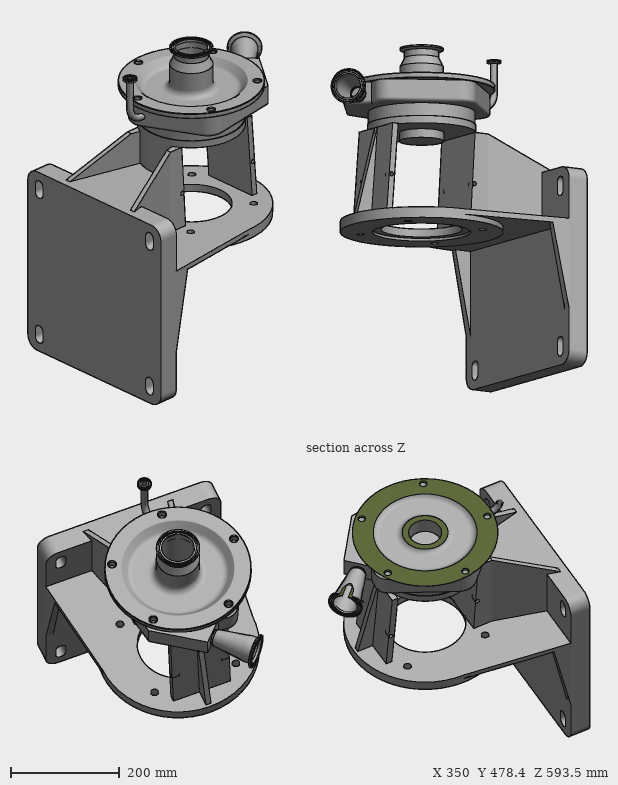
import math

import cadquery as cq


TOTAL_HEIGHT = 593.5

FOOT_WIDTH = 350.0
FOOT_HEIGHT = 370.0
FOOT_THICKNESS = 40.0
FOOT_TOP = 100.0
FOOT_CORNER = 25.0
FOOT_OUTER_Y = -250.0
FOOT_INNER_Y = FOOT_OUTER_Y + FOOT_THICKNESS
SLOT_SPACING_X = 290.0
SLOT_SPACING_Z = 300.0
SLOT_WIDTH = 20.0
SLOT_LENGTH = 36.0

TABLE_RADIUS = 150.0
TABLE_LAYER = 10.0
TABLE_BORE = 75.0
SPIGOT_RADIUS = 90.0
SPIGOT_DEPTH = 5.0
MOTOR_CIRCLE_RADIUS = 115.0
MOTOR_HOLE_COUNT = 4
MOTOR_HOLE_DIAMETER = 14.0
GUSSET_THICKNESS = 15.0
GUSSET_FRONT_Y = -177.0
GUSSET_BOTTOM = -168.0

LANTERN_TOP = 166.0
LANTERN_RADIUS = 100.0
LANTERN_HALF_WIDTH = 57.0
WALL_INNER_FOOT = -70.5
WALL_INNER_HEAD = -80.3
LEG_INNER_FOOT = 100.8
LEG_INNER_HEAD = 88.0
LEG_THICKNESS = 12.0
LEG_RIB_FOOT = 144.0
RIB_THICKNESS = 10.0
RIB_SPLAY = 14.5
RIB_FRONT_Y = -109.0
RIB_END_Y = -235.0
TAP_DIAMETER = 8.0
TAP_DEPTH = 15.0
TAP_HEIGHT = 70.0
WALL_TAP_Y = -79.0
LEG_TAP_Y = 102.5

RING_HEIGHT = 14.0
NECK_RADIUS = 98.5
HUB_RADIUS = 41.0
HUB_LENGTH = 16.0
CASING_BOTTOM = 204.0
CASING_TOP = 244.5
LID_TOP = 254.5
LID_RADIUS = 135.0

BOLT_COUNT = 5
BOLT_PITCH = 360.0 / BOLT_COUNT
FIRST_BOLT = 45.0
BOLT_CIRCLE_RADIUS = 121.5
FLAT_DISTANCE = 115.0
VOLUTE_FLAT_DISTANCE = 121.6
OUTLET_ANGLE = 135.0
OUTLET_FACE_DISTANCE = 109.0
OUTLET_SIDE_ANGLE = 54.0
OUTLET_SIDE_DISTANCE = 139.5
CORNER_RADIUS = 33.0
VOLUTE_CORNER_RADIUS = 27.0
CASING_EDGE = 6.0

LID_EDGE = 1.0
LID_HOLE_DIAMETER = 13.0
LID_HOLE_CHAMFER = 1.7
LID_HOLE_DEPTH = 14.0
DRILL_TIP = 118.0
DISH_RIM_RADIUS = 105.5
DISH_RIM_ROLL = 1.7
DISH_RIM_DROP = 0.6
DISH_WALL_RADIUS = 93.5
DISH_FLOOR_RADIUS = 83.5
DISH_DEPTH = 16.0
DISH_FILLET_RISE = 4.5

INLET_RADIUS = 40.0
INLET_FILLET = 14.0
INLET_SHOULDER = 289.0
INLET_NECK_START = 305.5
INLET_NECK_RADIUS = 32.0
INLET_TOP = FOOT_TOP - FOOT_HEIGHT + TOTAL_HEIGHT
PIPE_WALL = 2.0
INLET_FLANGE_RADIUS = 40.0
INLET_GROOVE_RADIUS = 35.5
INLET_BORE_BOTTOM = 214.5

OUTLET_OFFSET = 96.0
OUTLET_HEIGHT = 222.3
OUTLET_STUB_RADIUS = 14.0
OUTLET_CONE_START = 112.5
OUTLET_ROOT_RADIUS = 15.5
OUTLET_BORE_NECK_START = 168.5
OUTLET_NECK_START = 177.5
OUTLET_NECK_RADIUS = 25.0
OUTLET_END = 195.0
OUTLET_FLANGE_RADIUS = 32.0
OUTLET_GROOVE_RADIUS = 27.8

FLANGE_RIM = 3.0
FLANGE_TAPER = 3.0
GROOVE_WIDTH = 3.0
GROOVE_DEPTH = 1.5

DRAIN_Y = -158.0
DRAIN_HEIGHT = 225.8
DRAIN_BEND = 28.0
DRAIN_RADIUS = 6.4
DRAIN_BORE_RADIUS = 4.4
DRAIN_ROOT_Y = -120.0
DRAIN_TOP = 316.5
DRAIN_FLANGE_RADIUS = 12.9
DRAIN_GROOVE_RADIUS = 9.5
DRAIN_FLANGE_RIM = 4.0
DRAIN_FLANGE_TAPER = 2.0


def cylinder(radius, bottom, top):
    """Upright round bar about the pump axis."""
    return cq.Workplane("XY", origin=(0, 0, bottom)).circle(radius).extrude(top - bottom)


def side_profile(points, x_start, x_end):
    """Extrude a closed (y, z) outline along X."""
    return cq.Workplane("YZ", origin=(x_start, 0, 0)).polyline(points).close().extrude(x_end - x_start)


def revolved(points):
    """Revolve a closed (radius, z) outline about Z."""
    return cq.Workplane("XZ").polyline(points).close().revolve(360, (0, 0, 0), (0, 1, 0))


def clamp_groove(radius, top):
    """Seal groove in the end face of a clamp flange facing +Z."""
    inner = radius - GROOVE_WIDTH / 2
    bottom = top - GROOVE_DEPTH
    return cylinder(inner + GROOVE_WIDTH, bottom, top).cut(cylinder(inner, bottom, top))


def polar(radius, angle):
    """Cartesian point at a radius and an angle in degrees."""
    return radius * math.cos(math.radians(angle)), radius * math.sin(math.radians(angle))


def foot_plate():
    """Round-cornered mounting plate with four upright slots."""
    centre_z = FOOT_TOP - FOOT_HEIGHT / 2
    plane = cq.Workplane("XZ", origin=(0, FOOT_INNER_Y, centre_z))
    plate = plane.rect(FOOT_WIDTH, FOOT_HEIGHT).extrude(FOOT_THICKNESS).edges("|Y").fillet(FOOT_CORNER)
    slots = (
        plane.rect(SLOT_SPACING_X, SLOT_SPACING_Z, forConstruction=True)
        .vertices()
        .slot2D(SLOT_LENGTH, SLOT_WIDTH, 90)
        .extrude(FOOT_THICKNESS)
    )
    return plate.cut(slots)


def flared_outline(bottom, top):
    """Round nose about the pump axis with straight flanks spreading to the foot plate corners."""
    corner_x = FOOT_WIDTH / 2
    return (
        cq.Workplane("XY", origin=(0, 0, bottom))
        .moveTo(-corner_x, FOOT_INNER_Y)
        .lineTo(corner_x, FOOT_INNER_Y)
        .lineTo(TABLE_RADIUS, 0)
        .threePointArc((0, TABLE_RADIUS), (-TABLE_RADIUS, 0))
        .close()
        .extrude(top - bottom)
    )


def table():
    """Flared plate and disc with motor bore, spigot recess and bolt holes."""
    bottom = -2 * TABLE_LAYER
    body = flared_outline(-TABLE_LAYER, 0).union(cylinder(TABLE_RADIUS, bottom, -TABLE_LAYER))
    body = body.cut(cylinder(TABLE_BORE, bottom, 0))
    body = body.cut(cylinder(SPIGOT_RADIUS, bottom, bottom + SPIGOT_DEPTH))
    motor_holes = (
        cq.Workplane("XY", origin=(0, 0, bottom))
        .polarArray(MOTOR_CIRCLE_RADIUS, 180 / MOTOR_HOLE_COUNT, 360, MOTOR_HOLE_COUNT)
        .circle(MOTOR_HOLE_DIAMETER / 2)
        .extrude(-bottom)
    )
    return body.cut(motor_holes)


def table_gussets():
    """Two triangular plates under the table, flush with its flanks."""
    half_width = FOOT_WIDTH / 2
    triangle = [
        (GUSSET_FRONT_Y, -TABLE_LAYER),
        (FOOT_INNER_Y, -TABLE_LAYER),
        (FOOT_INNER_Y, GUSSET_BOTTOM),
    ]
    outer = side_profile(triangle, -half_width, half_width).intersect(
        flared_outline(GUSSET_BOTTOM, -TABLE_LAYER)
    )
    inner_half_width = half_width - GUSSET_THICKNESS
    return outer.cut(side_profile(triangle, -inner_half_width, inner_half_width))


def lantern_wall():
    """Wall on the foot side: round outside, sloping flat inside."""
    outline = [
        (WALL_INNER_FOOT, 0),
        (-LANTERN_RADIUS, 0),
        (-LANTERN_RADIUS, LANTERN_TOP),
        (WALL_INNER_HEAD, LANTERN_TOP),
    ]
    block = side_profile(outline, -LANTERN_HALF_WIDTH, LANTERN_HALF_WIDTH)
    return block.intersect(cylinder(LANTERN_RADIUS, 0, LANTERN_TOP))


def lantern_leg():
    """Leaning flat plate on the far side with one rib behind it."""
    plate = [
        (LEG_INNER_FOOT, 0),
        (LEG_INNER_FOOT + LEG_THICKNESS, 0),
        (LEG_INNER_HEAD + LEG_THICKNESS, LANTERN_TOP),
        (LEG_INNER_HEAD, LANTERN_TOP),
    ]
    rib = [
        (LEG_INNER_FOOT, 0),
        (LEG_RIB_FOOT, 0),
        (LEG_INNER_HEAD + LEG_THICKNESS, LANTERN_TOP),
        (LEG_INNER_HEAD, LANTERN_TOP),
    ]
    leg = side_profile(plate, -LANTERN_HALF_WIDTH, LANTERN_HALF_WIDTH)
    return leg.union(side_profile(rib, -RIB_THICKNESS / 2, RIB_THICKNESS / 2))


def rib_outer_x(y):
    """Half-width across the outer faces of the two splayed ribs."""
    return LANTERN_HALF_WIDTH + (RIB_FRONT_Y - y) * math.tan(math.radians(RIB_SPLAY))


def foot_rib(side):
    """Splayed rib from the lantern wall down to the top of the foot plate."""
    width = RIB_THICKNESS / math.cos(math.radians(RIB_SPLAY))
    plan = [
        (side * LANTERN_HALF_WIDTH, WALL_INNER_HEAD),
        (side * LANTERN_HALF_WIDTH, RIB_FRONT_Y),
        (side * rib_outer_x(RIB_END_Y), RIB_END_Y),
        (side * (rib_outer_x(RIB_END_Y) - width), RIB_END_Y),
        (side * (rib_outer_x(WALL_INNER_HEAD) - width), WALL_INNER_HEAD),
    ]
    elevation = [
        (WALL_INNER_HEAD, 0),
        (RIB_END_Y, 0),
        (RIB_END_Y, FOOT_TOP),
        (RIB_FRONT_Y, LANTERN_TOP),
        (WALL_INNER_HEAD, LANTERN_TOP),
    ]
    upright = cq.Workplane("XY").polyline(plan).close().extrude(LANTERN_TOP)
    return upright.intersect(side_profile(elevation, -FOOT_WIDTH / 2, FOOT_WIDTH / 2))


def rib_infill():
    """Block between the ribs, level with the top of the foot plate."""
    foot_x = rib_outer_x(FOOT_INNER_Y) - RIB_THICKNESS / 2
    head_x = rib_outer_x(WALL_INNER_HEAD) - RIB_THICKNESS / 2
    plan = [
        (-foot_x, FOOT_INNER_Y),
        (foot_x, FOOT_INNER_Y),
        (head_x, WALL_INNER_HEAD),
        (-head_x, WALL_INNER_HEAD),
    ]
    return cq.Workplane("XY").polyline(plan).close().extrude(FOOT_TOP)


def lantern_taps():
    """Blind holes in the side faces of the wall and the leg."""
    points = [(WALL_TAP_Y, TAP_HEIGHT), (LEG_TAP_Y, TAP_HEIGHT)]
    left = cq.Workplane("YZ", origin=(-LANTERN_HALF_WIDTH, 0, 0)).pushPoints(points)
    left = left.circle(TAP_DIAMETER / 2).extrude(TAP_DEPTH)
    return left.union(left.mirror("YZ"))


def flat_crossing(first, second):
    """Point where two (angle, distance) flats meet."""
    a1, a2 = math.radians(first[0]), math.radians(second[0])
    d1, d2 = first[1], second[1]
    determinant = math.sin(a2 - a1)
    x = (d1 * math.sin(a2) - d2 * math.sin(a1)) / determinant
    y = (d2 * math.cos(a1) - d1 * math.cos(a2)) / determinant
    return x, y


def round_corners(block, corners, radius):
    """Round the upright casing edges that stand at the given (x, y) corners."""
    middle = (CASING_TOP + CASING_BOTTOM) / 2
    edges = []
    for x, y in corners:
        edges.append(block.edges(cq.selectors.NearestToPointSelector((x, y, middle))).val())
    return block.newObject(edges).fillet(radius)


def casing():
    """Five-sided casing with rounded corners, swelling into the outlet block."""
    first_flat = FIRST_BOLT - BOLT_PITCH / 2
    flats = [
        (first_flat, FLAT_DISTANCE),
        (OUTLET_SIDE_ANGLE, OUTLET_SIDE_DISTANCE),
        (OUTLET_ANGLE, OUTLET_FACE_DISTANCE),
        (first_flat + BOLT_PITCH, VOLUTE_FLAT_DISTANCE),
        (first_flat + 2 * BOLT_PITCH, FLAT_DISTANCE),
        (first_flat + 3 * BOLT_PITCH, FLAT_DISTANCE),
        (first_flat + 4 * BOLT_PITCH, FLAT_DISTANCE),
    ]
    corners = [flat_crossing(flat, flats[i - 1]) for i, flat in enumerate(flats)]
    block = cq.Workplane("XY", origin=(0, 0, CASING_BOTTOM)).polyline(corners).close()
    block = block.extrude(CASING_TOP - CASING_BOTTOM)

    last_corner, _side_corner, _outlet_tip, _outlet_foot, volute_corner, *plain_corners = corners
    block = round_corners(block, [volute_corner], VOLUTE_CORNER_RADIUS)
    block = round_corners(block, [last_corner] + plain_corners, CORNER_RADIUS)
    return block.faces("<Z").edges().fillet(CASING_EDGE)


def lid():
    """Lid disc with broken edges."""
    return cylinder(LID_RADIUS, CASING_TOP, LID_TOP).edges().chamfer(LID_EDGE)


def lid_dish():
    """Round recess with sloping wall, blended into its floor and rolled over at the rim."""
    floor = LID_TOP - DISH_DEPTH
    return (
        cq.Workplane("XZ")
        .moveTo(0, floor)
        .lineTo(DISH_FLOOR_RADIUS, floor)
        .tangentArcPoint((DISH_WALL_RADIUS, floor + DISH_FILLET_RISE), relative=False)
        .lineTo(DISH_RIM_RADIUS - DISH_RIM_ROLL, LID_TOP - DISH_RIM_DROP)
        .tangentArcPoint((DISH_RIM_RADIUS, LID_TOP), relative=False)
        .lineTo(0, LID_TOP)
        .close()
        .revolve(360, (0, 0, 0), (0, 1, 0))
    )


def lid_holes():
    """Chamfered blind bolt holes with drill tips."""
    radius = LID_HOLE_DIAMETER / 2
    bottom = LID_TOP - LID_HOLE_DEPTH
    tip = radius / math.tan(math.radians(DRILL_TIP / 2))
    drill = revolved(
        [
            (0, LID_TOP),
            (radius + LID_HOLE_CHAMFER, LID_TOP),
            (radius, LID_TOP - LID_HOLE_CHAMFER),
            (radius, bottom),
            (0, bottom - tip),
        ]
    )
    holes = cq.Workplane("XY")
    for i in range(BOLT_COUNT):
        x, y = polar(BOLT_CIRCLE_RADIUS, FIRST_BOLT + i * BOLT_PITCH)
        holes = holes.union(drill.translate((x, y, 0)))
    return holes


def inlet():
    """Necked inlet pipe with a clamp flange, and its bore."""
    floor = LID_TOP - DISH_DEPTH
    fillet_middle = INLET_FILLET * (1 - math.sqrt(0.5))
    rim = INLET_TOP - FLANGE_RIM
    body = (
        cq.Workplane("XZ")
        .moveTo(0, floor)
        .lineTo(INLET_RADIUS + INLET_FILLET, floor)
        .threePointArc(
            (INLET_RADIUS + fillet_middle, floor + fillet_middle), (INLET_RADIUS, floor + INLET_FILLET)
        )
        .lineTo(INLET_RADIUS, INLET_SHOULDER)
        .lineTo(INLET_NECK_RADIUS, INLET_NECK_START)
        .lineTo(INLET_NECK_RADIUS, rim - FLANGE_TAPER)
        .lineTo(INLET_FLANGE_RADIUS, rim)
        .lineTo(INLET_FLANGE_RADIUS, INLET_TOP)
        .lineTo(0, INLET_TOP)
        .close()
        .revolve(360, (0, 0, 0), (0, 1, 0))
    )
    bore = cylinder(INLET_NECK_RADIUS - PIPE_WALL, INLET_BORE_BOTTOM, INLET_TOP)
    return body.cut(clamp_groove(INLET_GROOVE_RADIUS, INLET_TOP)), bore


def outlet():
    """Flared pipe leaving the outlet face of the casing, and its bore."""
    rim = OUTLET_END - FLANGE_RIM
    outer = [
        (0, OUTLET_FACE_DISTANCE),
        (OUTLET_STUB_RADIUS, OUTLET_FACE_DISTANCE),
        (OUTLET_STUB_RADIUS, OUTLET_CONE_START),
        (OUTLET_ROOT_RADIUS, OUTLET_CONE_START),
        (OUTLET_NECK_RADIUS, OUTLET_NECK_START),
        (OUTLET_NECK_RADIUS, rim - FLANGE_TAPER),
        (OUTLET_FLANGE_RADIUS, rim),
        (OUTLET_FLANGE_RADIUS, OUTLET_END),
        (0, OUTLET_END),
    ]
    bore = [
        (0, OUTLET_FACE_DISTANCE),
        (OUTLET_STUB_RADIUS - PIPE_WALL, OUTLET_FACE_DISTANCE),
        (OUTLET_NECK_RADIUS - PIPE_WALL, OUTLET_BORE_NECK_START),
        (OUTLET_NECK_RADIUS - PIPE_WALL, OUTLET_END),
        (0, OUTLET_END),
    ]

    def along_outlet(solid):
        lying = solid.rotate((0, 0, 0), (1, 0, 0), -90)
        placed = lying.translate((OUTLET_OFFSET, 0, OUTLET_HEIGHT))
        return placed.rotate((0, 0, 0), (0, 0, 1), OUTLET_ANGLE - 90)

    pipe = revolved(outer).cut(clamp_groove(OUTLET_GROOVE_RADIUS, OUTLET_END))
    return along_outlet(pipe), along_outlet(revolved(bore))


def drain():
    """Bent drain pipe with a small clamp flange, and its bore."""

    def pipe(radius):
        path = (
            cq.Workplane("YZ")
            .moveTo(DRAIN_Y, DRAIN_TOP)
            .lineTo(DRAIN_Y, DRAIN_HEIGHT + DRAIN_BEND)
            .radiusArc((DRAIN_Y + DRAIN_BEND, DRAIN_HEIGHT), -DRAIN_BEND)
            .lineTo(DRAIN_ROOT_Y, DRAIN_HEIGHT)
        )
        return cq.Workplane("XY", origin=(0, DRAIN_Y, DRAIN_TOP)).circle(radius).sweep(path)

    rim = DRAIN_TOP - DRAIN_FLANGE_RIM
    flange = revolved(
        [
            (0, rim - DRAIN_FLANGE_TAPER),
            (DRAIN_RADIUS, rim - DRAIN_FLANGE_TAPER),
            (DRAIN_FLANGE_RADIUS, rim),
            (DRAIN_FLANGE_RADIUS, DRAIN_TOP),
            (0, DRAIN_TOP),
        ]
    )
    flange = flange.cut(clamp_groove(DRAIN_GROOVE_RADIUS, DRAIN_TOP)).translate((0, DRAIN_Y, 0))
    return pipe(DRAIN_RADIUS).union(flange), pipe(DRAIN_BORE_RADIUS)


def bracket():
    """Foot plate, table and lantern."""
    body = foot_plate().union(table()).union(table_gussets())
    body = body.union(lantern_wall()).union(lantern_leg())
    for side in (-1, 1):
        body = body.union(foot_rib(side))
    body = body.union(rib_infill())
    return body.cut(lantern_taps())


def pump():
    """Round pump stack with casing, lid and pipes."""
    ring_top = LANTERN_TOP + RING_HEIGHT
    body = cylinder(HUB_RADIUS, LANTERN_TOP - HUB_LENGTH, LANTERN_TOP)
    body = body.union(cylinder(LANTERN_RADIUS, LANTERN_TOP, ring_top))
    body = body.union(cylinder(NECK_RADIUS, ring_top, CASING_BOTTOM))
    body = body.union(casing()).union(lid()).cut(lid_dish()).cut(lid_holes())
    for solid, bore in (inlet(), outlet(), drain()):
        body = body.union(solid).cut(bore)
    return body


result = bracket().union(pump()).solids()